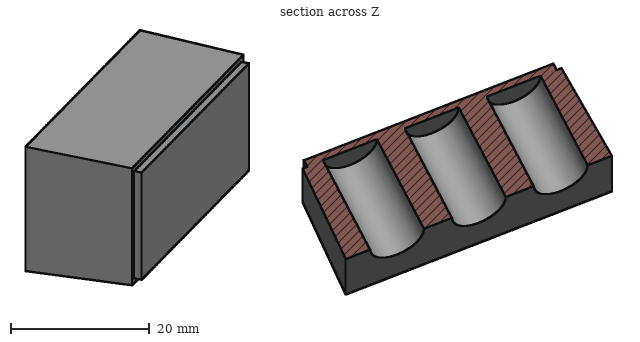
import cadquery as cq

block_length = 42.2
block_height = 19.9
total_depth = 17.7
draft_angle = 2.0

pad_depth = 1.2
pad_length = 39.55
pad_height = 17.18

hole_diameter = 8.5
hole_pitch = 12.95
hole_count = 3

block_depth = total_depth - pad_depth
hole_depth = block_depth


def make_block():
    """Block drafted on all four sides, with its large face at X = 0."""
    return (
        cq.Workplane("YZ")
        .rect(block_length, block_height)
        .extrude(block_depth, taper=draft_angle)
    )


def make_pad():
    """Thin rectangular pad centred on the narrow face."""
    return (
        cq.Workplane("YZ", origin=(block_depth, 0, 0))
        .rect(pad_length, pad_height)
        .extrude(pad_depth)
    )


def make_holes():
    """Evenly spaced flat-bottomed holes along Y, centred on the large face."""
    return (
        cq.Workplane("YZ")
        .rarray(hole_pitch, 0.42, hole_count, 1)
        .circle(hole_diameter / 2)
        .extrude(hole_depth)
    )


result = make_block().union(make_pad()).cut(make_holes())